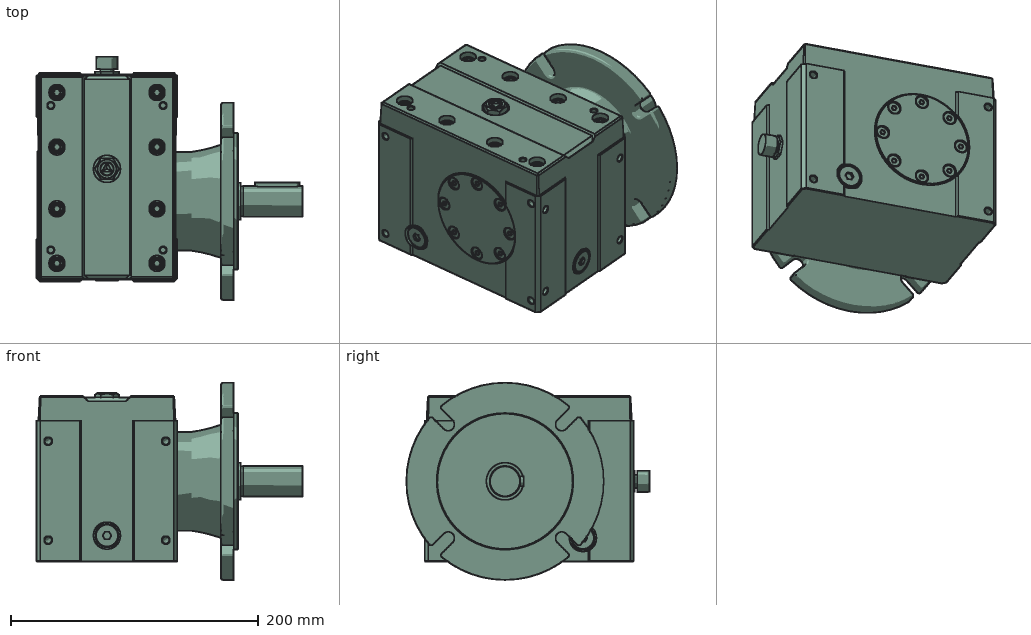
import cadquery as cq
import math


X = (1, 0, 0)
Y = (0, 1, 0)
LEFT = (-1, 0, 0)
FRONT = (0, -1, 0)
BACK = (0, 1, 0)
UP = (0, 0, 1)
DOWN = (0, 0, -1)

HOUSING_LENGTH = 114.0
HOUSING_FRONT = -65.0
HOUSING_BACK = 104.0
HOUSING_BOTTOM = -65.0
HOUSING_TOP = 49.0
HOUSING_CORNER_CHAMFER = 3.0
HOUSING_BOTTOM_CHAMFER = 0.6
MID_X = HOUSING_LENGTH / 2
MID_Y = (HOUSING_FRONT + HOUSING_BACK) / 2

RECESS_DEPTH = 1.5
END_RECESS_WIDTH = 44.3
SIDE_RECESS_FRONT = -31.2
SIDE_RECESS_BACK = 68.5

COVER_TOP = 69.2
COVER_HEIGHT = COVER_TOP - HOUSING_TOP
COVER_INSET = 1.5
COVER_TAPER_INSET = 1.0
COVER_CORNER_CHAMFER = 1.5
COVER_EDGE_CHAMFER = 1.3
CHANNEL_WIDTH = 39.5
CHANNEL_DEPTH = 1.5
CHANNEL_END_DEPTH = 4.5
CHANNEL_END_LENGTH = 2.8

HUB_DIAMETER = 80.0
FLARE_START = 125.1
FLARE_MID = (136.5, 42.1)
FLARE_END_RADIUS = 45.4
HUB_FILLET = 1.3
FLANGE_START = 149.0
FLANGE_THICKNESS = 10.3
FLANGE_END = FLANGE_START + FLANGE_THICKNESS
FLANGE_DIAMETER = 159.5
FLANGE_FILLET = 2.2
SLOT_WIDTH = 10.0
SLOT_CIRCLE_RADIUS = 65.0
SLOT_MOUTH_FILLET = 2.0
SLOT_ANGLES = (45, 135, 225, 315)
SPIGOT_DIAMETER = 110.5
SPIGOT_END = 163.0
SPIGOT_CHAMFER = 0.6
COLLAR_DIAMETER = 30.0
COLLAR_END = 165.1
RELIEF_DIAMETER = 24.5
RELIEF_END = 167.3
SHAFT_DIAMETER = 25.0
SHAFT_END = 215.0
SHAFT_CHAMFER = 0.5
KEY_START = 176.5
KEY_LENGTH = 36.1
KEY_WIDTH = 8.0
KEY_TOP = 15.3

BEARING_COVER_FACE = 0.6
BEARING_COVER_DIAMETER = 82.0
BEARING_COVER_CHAMFER = 0.97
BEARING_COVER_THICKNESS = 2.2
BEARING_BOLT_RADIUS = 34.0
BEARING_BOLT_COUNT = 8
BEARING_BOLT_HOLE_DIAMETER = 11.0
BEARING_BOLT_HOLE_DEPTH = 1.3
BEARING_BOLT_HEAD_DIAMETER = 10.0
BEARING_BOLT_HEAD_HEIGHT = 0.9
BEARING_BOLT_SOCKET_FLATS = 3.5

TAPPED_DIAMETER = 5.5
TAPPED_MOUTH_DIAMETER = 6.7
TAPPED_DEPTH = 8.5
DRILL_POINT_ANGLE = 118.0
FRONT_TAPPED_X = (9.5, 104.5)
FRONT_TAPPED_Z = (-47.5, 32.5)
SIDE_TAPPED_Y = (-57.2, 94.5)
SIDE_TAPPED_Z = (-55.0, 40.0)

SOCKET_DEPTH = 2.2

PLUG_POCKET_DIAMETER = 22.0
PLUG_POCKET_DEPTH = 2.2
PLUG_DIAMETER = 19.0
PLUG_HEIGHT = 2.8
PLUG_CHAMFER = 0.6
PLUG_SOCKET_FLATS = 6.0
FRONT_PLUG_Z = -43.9
SIDE_PLUG_Y = 63.0
SIDE_PLUG_Z = -45.8

COVER_BOLT_X = (16.5, 97.5)
COVER_BOLT_Y = (-50.0, -6.0, 43.9, 88.0)
COVER_BOLT_HOLE_DIAMETER = 13.0
COVER_BOLT_HOLE_DEPTH = 6.5
COVER_BOLT_HEAD_DIAMETER = 10.0
COVER_BOLT_HEAD_HEIGHT = 3.2
COVER_BOLT_HEAD_CHAMFER = 0.5
COVER_BOLT_SOCKET_FLATS = 5.0
COVER_BOLT_SOCKET_COUNTERSINK = 0.5

PIN_HOLE_X = (11.6, 102.3)
PIN_HOLE_Y = (-39.3, 77.5)
PIN_HOLE_DIAMETER = 5.0
PIN_HOLE_MOUTH_DIAMETER = 6.0
PIN_HOLE_DEPTH = 4.3

HEX_FLATS = 17.0

VENT_Y = 26.2
VENT_POCKET_DIAMETER = 22.0
VENT_POCKET_DEPTH = 2.2
VENT_TOP = 71.4
VENT_CROWN_DIAMETER = 15.0
VENT_CROWN_HEIGHT = 1.5
VENT_MOUTH_DIAMETER = 11.0
VENT_BORE_DIAMETER = 10.0
VENT_BORE_DEPTH = 1.5
VENT_PIT_DIAMETER = 9.9
VENT_PIT_TIP_DIAMETER = 0.2
VENT_PIT_DEPTH = 2.2

BREATHER_EMBED = 2.2
BREATHER_HEX_END = 104.7
BREATHER_NECK_DIAMETER = 11.0
BREATHER_CAP_START = 106.9
BREATHER_CAP_DIAMETER = 17.5
BREATHER_END = 117.0
BREATHER_RIM_LENGTH = 1.7
BREATHER_RIM_INSET = 0.2


def box(x0, x1, y0, y1, z0, z1):
    return cq.Workplane("XY").box(x1 - x0, y1 - y0, z1 - z0, centered=False).translate((x0, y0, z0))


def cone(base, axis, start_diameter, end_diameter, length):
    point = cq.Vector(*base)
    direction = cq.Vector(*axis)
    return cq.Workplane(cq.Solid.makeCone(start_diameter / 2, end_diameter / 2, length, point, direction))


def cylinder(base, axis, diameter, length):
    return cq.Workplane(cq.Solid.makeCylinder(diameter / 2, length, cq.Vector(*base), cq.Vector(*axis)))


def hex_prism(base, axis, corner_direction, flats, length):
    plane = cq.Plane(origin=base, xDir=corner_direction, normal=axis)
    return cq.Workplane(plane).polygon(6, flats / math.cos(math.pi / 6)).extrude(length)


def along(base, axis, distance):
    return tuple(b + a * distance for b, a in zip(base, axis))


def opposite(axis):
    return tuple(-a for a in axis)


def sunk_screw(body, face_point, axis, corner_direction, hole, head, socket_flats, head_chamfer=0):
    """Counterbore `body` at `face_point` and seat a socket head screw in it; `axis` points outward.

    `hole` is the diameter and depth of the counterbore; `head` the diameter and height of the
    head. One corner of the hexagon socket points along `corner_direction`.
    """
    hole_diameter, hole_depth = hole
    head_diameter, head_height = head
    seat = along(face_point, axis, -hole_depth)
    body = body.cut(cylinder(seat, axis, hole_diameter, hole_depth + RECESS_DEPTH))
    screw = cylinder(seat, axis, head_diameter, head_height - head_chamfer)
    if head_chamfer:
        rim = along(seat, axis, head_height - head_chamfer)
        screw = screw.union(cone(rim, axis, head_diameter, head_diameter - 2 * head_chamfer, head_chamfer))
    top = along(seat, axis, head_height)
    screw = screw.cut(hex_prism(top, opposite(axis), corner_direction, socket_flats, SOCKET_DEPTH))
    return body.union(screw)


def wall_recess(low, high):
    """Recess with 45 degree sides, to be cut into a wall that faces -Y and lies on Y = 0."""
    points = [
        (low, 0),
        (low + RECESS_DEPTH, RECESS_DEPTH),
        (high - RECESS_DEPTH, RECESS_DEPTH),
        (high, 0),
    ]
    height = HOUSING_TOP - HOUSING_BOTTOM
    return cq.Workplane("XY", origin=(0, 0, HOUSING_BOTTOM)).polyline(points).close().extrude(height)


def make_housing():
    body = box(0, HOUSING_LENGTH, HOUSING_FRONT, HOUSING_BACK, HOUSING_BOTTOM, HOUSING_TOP)
    body = body.edges("|Z").chamfer(HOUSING_CORNER_CHAMFER)
    body = body.faces("<Z").edges().chamfer(HOUSING_BOTTOM_CHAMFER)

    end_recess = wall_recess(-END_RECESS_WIDTH / 2, END_RECESS_WIDTH / 2)
    body = body.cut(end_recess.translate((MID_X, HOUSING_FRONT, 0)))
    body = body.cut(end_recess.mirror("XZ").translate((MID_X, HOUSING_BACK, 0)))

    side_recess = wall_recess(-SIDE_RECESS_BACK, -SIDE_RECESS_FRONT)
    side_recess = side_recess.rotate((0, 0, 0), (0, 0, 1), -90)
    body = body.cut(side_recess)
    return body.cut(side_recess.mirror("YZ").translate((HOUSING_LENGTH, 0, 0)))


def cover_channel(depth):
    """Full-length channel with 45 degree sides, open at the top of the cover."""
    half = CHANNEL_WIDTH / 2
    points = [
        (MID_X - half, COVER_TOP),
        (MID_X - half + depth, COVER_TOP - depth),
        (MID_X + half - depth, COVER_TOP - depth),
        (MID_X + half, COVER_TOP),
    ]
    length = HOUSING_BACK - HOUSING_FRONT
    return cq.Workplane("XZ", origin=(0, HOUSING_BACK, 0)).polyline(points).close().extrude(length)


def channel_ramp():
    """Wedge under the front end of the channel floor, as wide as the housing."""
    end = HOUSING_FRONT + COVER_INSET + COVER_TAPER_INSET
    floor = COVER_TOP - CHANNEL_DEPTH
    points = [
        (end + CHANNEL_END_LENGTH, floor),
        (end, COVER_TOP - CHANNEL_END_DEPTH),
        (HOUSING_FRONT, COVER_TOP - CHANNEL_END_DEPTH),
        (HOUSING_FRONT, floor),
    ]
    return cq.Workplane("YZ").polyline(points).close().extrude(HOUSING_LENGTH)


def make_cover():
    length = HOUSING_LENGTH - 2 * COVER_INSET
    width = HOUSING_BACK - HOUSING_FRONT - 2 * COVER_INSET
    outline = cq.Sketch().rect(length, width).vertices().chamfer(COVER_CORNER_CHAMFER)
    taper = math.degrees(math.atan(COVER_TAPER_INSET / COVER_HEIGHT))
    cover = cq.Workplane("XY", origin=(MID_X, MID_Y, HOUSING_TOP))
    cover = cover.placeSketch(outline).extrude(COVER_HEIGHT, taper=taper)
    cover = cover.faces(">Z").edges().chamfer(COVER_EDGE_CHAMFER)

    front_ramp = channel_ramp().intersect(cover_channel(CHANNEL_END_DEPTH))
    back_ramp = front_ramp.translate((0, -MID_Y, 0)).mirror("XZ").translate((0, MID_Y, 0))
    return cover.cut(cover_channel(CHANNEL_DEPTH)).cut(front_ramp).cut(back_ramp)


def make_hub():
    """Cylinder that flares out towards the flange and ends in a small fillet."""
    fillet_start = FLANGE_START - HUB_FILLET
    bend = HUB_FILLET * math.sqrt(0.5)
    outline = (
        cq.Workplane("XY")
        .moveTo(MID_X, 0)
        .lineTo(MID_X, HUB_DIAMETER / 2)
        .lineTo(FLARE_START, HUB_DIAMETER / 2)
        .threePointArc(FLARE_MID, (fillet_start, FLARE_END_RADIUS))
        .threePointArc(
            (fillet_start + bend, FLARE_END_RADIUS + HUB_FILLET - bend),
            (FLANGE_START, FLARE_END_RADIUS + HUB_FILLET),
        )
        .lineTo(FLANGE_START, 0)
        .close()
    )
    return outline.revolve(360, (0, 0, 0), (1, 0, 0))


def is_on_rim(edge):
    center = edge.Center()
    return math.hypot(center.y, center.z) > SLOT_CIRCLE_RADIUS + SLOT_WIDTH


def make_flange():
    flange = cylinder((FLANGE_START, 0, 0), X, FLANGE_DIAMETER, FLANGE_THICKNESS)
    slot = cylinder((FLANGE_START, 0, SLOT_CIRCLE_RADIUS), X, SLOT_WIDTH, FLANGE_THICKNESS)
    half = SLOT_WIDTH / 2
    slot = slot.union(
        box(FLANGE_START, FLANGE_END, -half, half, SLOT_CIRCLE_RADIUS, FLANGE_DIAMETER / 2)
    )
    for angle in SLOT_ANGLES:
        flange = flange.cut(slot.rotate((0, 0, 0), (1, 0, 0), angle))
    flange = flange.edges("|X").filter(is_on_rim).fillet(SLOT_MOUTH_FILLET)
    return flange.faces("<X").edges().fillet(FLANGE_FILLET)


def make_shaft():
    spigot = cylinder((FLANGE_START, 0, 0), X, SPIGOT_DIAMETER, SPIGOT_END - FLANGE_START)
    spigot = spigot.faces(">X").edges().chamfer(SPIGOT_CHAMFER)
    collar = cylinder((FLANGE_START, 0, 0), X, COLLAR_DIAMETER, COLLAR_END - FLANGE_START)
    relief = cylinder((FLANGE_START, 0, 0), X, RELIEF_DIAMETER, RELIEF_END - FLANGE_START)
    shaft = cylinder((RELIEF_END, 0, 0), X, SHAFT_DIAMETER, SHAFT_END - RELIEF_END)
    shaft = shaft.faces(">X").edges().chamfer(SHAFT_CHAMFER)
    key = (
        cq.Workplane("XZ", origin=(KEY_START + KEY_LENGTH / 2, 0, 0))
        .slot2D(KEY_LENGTH, KEY_WIDTH)
        .extrude(-KEY_TOP)
    )
    return spigot.union(collar).union(relief).union(shaft).union(key)


def add_bearing_cover(body):
    depth = BEARING_COVER_FACE + BEARING_COVER_THICKNESS
    seat = (depth, 0, 0)
    pocket = cylinder(seat, LEFT, BEARING_COVER_DIAMETER, depth)
    cover = cylinder(seat, LEFT, BEARING_COVER_DIAMETER, BEARING_COVER_THICKNESS)
    cover = cover.faces("<X").edges().chamfer(BEARING_COVER_CHAMFER)
    body = body.cut(pocket).union(cover)
    hole = (BEARING_BOLT_HOLE_DIAMETER, BEARING_BOLT_HOLE_DEPTH)
    head = (BEARING_BOLT_HEAD_DIAMETER, BEARING_BOLT_HEAD_HEIGHT)
    for index in range(BEARING_BOLT_COUNT):
        angle = 2 * math.pi * index / BEARING_BOLT_COUNT
        y = BEARING_BOLT_RADIUS * math.cos(angle)
        z = BEARING_BOLT_RADIUS * math.sin(angle)
        body = sunk_screw(body, (BEARING_COVER_FACE, y, z), LEFT, Y, hole, head, BEARING_BOLT_SOCKET_FLATS)
    return body


def add_oil_plugs(body):
    pocket = (PLUG_POCKET_DIAMETER, PLUG_POCKET_DEPTH)
    plug = (PLUG_DIAMETER, PLUG_HEIGHT)
    front_point = (MID_X, HOUSING_FRONT + RECESS_DEPTH, FRONT_PLUG_Z)
    left_point = (RECESS_DEPTH, SIDE_PLUG_Y, SIDE_PLUG_Z)
    right_point = (HOUSING_LENGTH - RECESS_DEPTH, SIDE_PLUG_Y, SIDE_PLUG_Z)
    body = sunk_screw(body, front_point, FRONT, X, pocket, plug, PLUG_SOCKET_FLATS, PLUG_CHAMFER)
    body = sunk_screw(body, left_point, LEFT, Y, pocket, plug, PLUG_SOCKET_FLATS, PLUG_CHAMFER)
    return sunk_screw(body, right_point, X, Y, pocket, plug, PLUG_SOCKET_FLATS, PLUG_CHAMFER)


def add_cover_bolts(body):
    hole = (COVER_BOLT_HOLE_DIAMETER, COVER_BOLT_HOLE_DEPTH)
    head = (COVER_BOLT_HEAD_DIAMETER, COVER_BOLT_HEAD_HEIGHT)
    head_top = COVER_TOP - COVER_BOLT_HOLE_DEPTH + COVER_BOLT_HEAD_HEIGHT
    flats = COVER_BOLT_SOCKET_FLATS
    corners = flats / math.cos(math.pi / 6)
    countersink = corners + 2 * COVER_BOLT_SOCKET_COUNTERSINK
    for x in COVER_BOLT_X:
        for y in COVER_BOLT_Y:
            face_point = (x, y, COVER_TOP)
            body = sunk_screw(body, face_point, UP, X, hole, head, flats, COVER_BOLT_HEAD_CHAMFER)
            socket_mouth = (x, y, head_top)
            body = body.cut(cone(socket_mouth, DOWN, countersink, corners, COVER_BOLT_SOCKET_COUNTERSINK))
    return body


def blind_hole(face_point, axis, mouth_diameter, diameter, depth):
    """Flat-bottomed hole with a 45 degree countersink; `axis` points into the material."""
    countersink_depth = (mouth_diameter - diameter) / 2
    mouth = cone(face_point, axis, mouth_diameter, diameter, countersink_depth)
    return mouth.union(cylinder(face_point, axis, diameter, depth))


def cut_pin_holes(body):
    for x in PIN_HOLE_X:
        for y in PIN_HOLE_Y:
            mouth = (x, y, COVER_TOP)
            body = body.cut(
                blind_hole(mouth, DOWN, PIN_HOLE_MOUTH_DIAMETER, PIN_HOLE_DIAMETER, PIN_HOLE_DEPTH)
            )
    return body


def tapped_hole(face_point, axis):
    """Blind hole that ends in a conical drill point."""
    hole = blind_hole(face_point, axis, TAPPED_MOUTH_DIAMETER, TAPPED_DIAMETER, TAPPED_DEPTH)
    point_depth = TAPPED_DIAMETER / 2 / math.tan(math.radians(DRILL_POINT_ANGLE / 2))
    bottom = along(face_point, axis, TAPPED_DEPTH)
    return hole.union(cone(bottom, axis, TAPPED_DIAMETER, 0, point_depth))


def cut_tapped_holes(body):
    for z in FRONT_TAPPED_Z:
        for x in FRONT_TAPPED_X:
            body = body.cut(tapped_hole((x, HOUSING_FRONT, z), BACK))
    for z in SIDE_TAPPED_Z:
        for y in SIDE_TAPPED_Y:
            body = body.cut(tapped_hole((0, y, z), X))
    return body


def add_vent_screw(body):
    floor = COVER_TOP - CHANNEL_DEPTH
    seat = (MID_X, VENT_Y, floor - VENT_POCKET_DEPTH)
    height = VENT_TOP - floor + VENT_POCKET_DEPTH
    body = body.cut(cylinder(seat, UP, VENT_POCKET_DIAMETER, height))

    corners = HEX_FLATS / math.cos(math.pi / 6)
    shank_height = height - VENT_CROWN_HEIGHT
    crown_base = along(seat, UP, shank_height)
    crown = cylinder(seat, UP, corners, shank_height)
    crown = crown.union(cone(crown_base, UP, corners, VENT_CROWN_DIAMETER, VENT_CROWN_HEIGHT))
    screw = hex_prism(seat, UP, X, HEX_FLATS, height).intersect(crown)
    mouth = (MID_X, VENT_Y, VENT_TOP)
    bore = blind_hole(mouth, DOWN, VENT_MOUTH_DIAMETER, VENT_BORE_DIAMETER, VENT_BORE_DEPTH)

    pit_plane = cq.Plane(origin=along(mouth, DOWN, VENT_BORE_DEPTH), xDir=Y, normal=DOWN)
    pit = cq.Workplane(pit_plane).polygon(3, VENT_PIT_DIAMETER)
    pit = pit.workplane(offset=VENT_PIT_DEPTH).polygon(3, VENT_PIT_TIP_DIAMETER).loft(ruled=True)
    return body.union(screw.cut(bore).cut(pit))


def make_breather():
    wall = HOUSING_BACK - RECESS_DEPTH
    start = wall - BREATHER_EMBED
    base = (MID_X, start, 0)
    hexagon = hex_prism(base, BACK, X, HEX_FLATS, BREATHER_HEX_END - start)
    neck = cylinder(base, BACK, BREATHER_NECK_DIAMETER, BREATHER_CAP_START - start)
    cap_base = (MID_X, BREATHER_CAP_START, 0)
    cap = cylinder(cap_base, BACK, BREATHER_CAP_DIAMETER, BREATHER_END - BREATHER_CAP_START)
    cap = cap.faces(">Y").edges().chamfer(BREATHER_RIM_LENGTH, BREATHER_RIM_INSET)
    return hexagon.union(neck).union(cap)


result = make_housing().union(make_cover())
result = result.union(make_hub()).union(make_flange()).union(make_shaft())
result = add_bearing_cover(result)
result = add_oil_plugs(result)
result = cut_tapped_holes(result)
result = add_cover_bolts(result)
result = cut_pin_holes(result)
result = add_vent_screw(result)
result = result.union(make_breather())